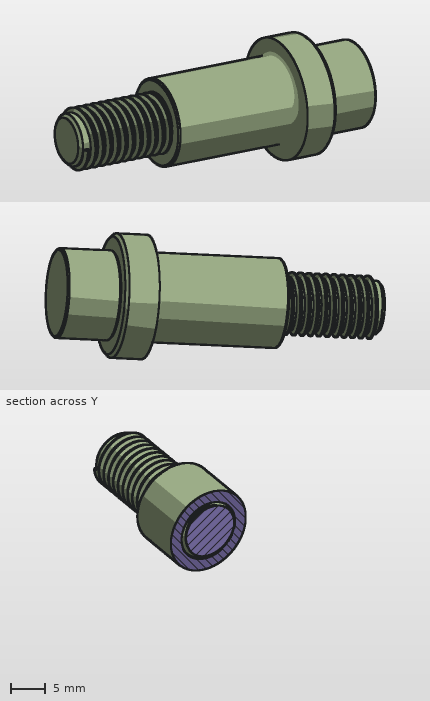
import cadquery as cq


HEAD_DIAMETER = 13.0
HEAD_HEIGHT = 8.0
HEAD_CHAMFER = 0.25
CORE_DIAMETER = 7.75
TIP_CHAMFER = 0.5
PROTRUSION = 15.0

THREAD_DIAMETER = 9.1
PITCH = 1.25
TURNS = 30
TOOTH_ROOT_WIDTH = 0.9
TOOTH_CREST_WIDTH = 0.15
TOOTH_OVERLAP = 0.1
RUNOUT = 1.0
THREAD_END_ANGLE = -4.5

COLLAR_DIAMETER = 18.0
COLLAR_LENGTH = 5.0
COLLAR_CHAMFER = 0.5
BARREL_DIAMETER = 13.0
BARREL_CHAMFER = 0.25
SLEEVE_LENGTH = 25.0
COLLAR_FILLET = 1.0
BORE_CLEARANCE = 0.01
BORE_DIAMETER = THREAD_DIAMETER + 2 * BORE_CLEARANCE

TIP = SLEEVE_LENGTH + PROTRUSION


def lay_along_y(body):
    """Turn a body built along +Z to run along -Y, and keep its single solid."""
    return body.rotate((0, 0, 0), (1, 0, 0), 90).solids()


def make_thread():
    """Right-handed ridge that runs from just below the head to just short of the tip."""
    core_radius = CORE_DIAMETER / 2
    height = THREAD_DIAMETER / 2 - core_radius
    flank_slope = (TOOTH_ROOT_WIDTH - TOOTH_CREST_WIDTH) / 2 / height
    inner_radius = core_radius - TOOTH_OVERLAP
    inner_half_width = TOOTH_ROOT_WIDTH / 2 + TOOTH_OVERLAP * flank_slope
    crest_half_width = TOOTH_CREST_WIDTH / 2

    length = TURNS * PITCH
    helix = cq.Wire.makeHelix(PITCH, length, core_radius)
    return (
        cq.Workplane("XZ")
        .moveTo(inner_radius, -inner_half_width)
        .lineTo(THREAD_DIAMETER / 2, -crest_half_width)
        .lineTo(THREAD_DIAMETER / 2, crest_half_width)
        .lineTo(inner_radius, inner_half_width)
        .close()
        .sweep(cq.Workplane(obj=helix), isFrenet=True)
        .rotate((0, 0, 0), (0, 0, 1), THREAD_END_ANGLE)
        .translate((0, 0, TIP - RUNOUT - length))
    )


def make_screw():
    """Plain round head, threaded core and chamfered tip."""
    head = (
        cq.Workplane("XY")
        .circle(HEAD_DIAMETER / 2)
        .extrude(-HEAD_HEIGHT)
        .edges()
        .chamfer(HEAD_CHAMFER)
    )
    core = (
        cq.Workplane("XY")
        .circle(CORE_DIAMETER / 2)
        .extrude(TIP)
        .faces(">Z")
        .chamfer(TIP_CHAMFER)
    )
    return lay_along_y(head.union(core).union(make_thread()))


def make_sleeve():
    """Barrel with a collar at the head end and a round fillet under the collar, bored through."""
    barrel_radius = BARREL_DIAMETER / 2
    collar_radius = COLLAR_DIAMETER / 2
    body = (
        cq.Workplane("XZ")
        .lineTo(collar_radius - COLLAR_CHAMFER, 0)
        .lineTo(collar_radius, COLLAR_CHAMFER)
        .lineTo(collar_radius, COLLAR_LENGTH)
        .lineTo(barrel_radius + COLLAR_FILLET, COLLAR_LENGTH)
        .radiusArc((barrel_radius, COLLAR_LENGTH + COLLAR_FILLET), COLLAR_FILLET)
        .lineTo(barrel_radius, SLEEVE_LENGTH - BARREL_CHAMFER)
        .lineTo(barrel_radius - BARREL_CHAMFER, SLEEVE_LENGTH)
        .lineTo(0, SLEEVE_LENGTH)
        .close()
        .revolve(360, (0, 0, 0), (0, 1, 0))
    )
    bore = cq.Workplane("XY").circle(BORE_DIAMETER / 2).extrude(SLEEVE_LENGTH)
    return lay_along_y(body.cut(bore))


screw = make_screw()
sleeve = make_sleeve()
result = cq.Compound.makeCompound([screw.val(), sleeve.val()])